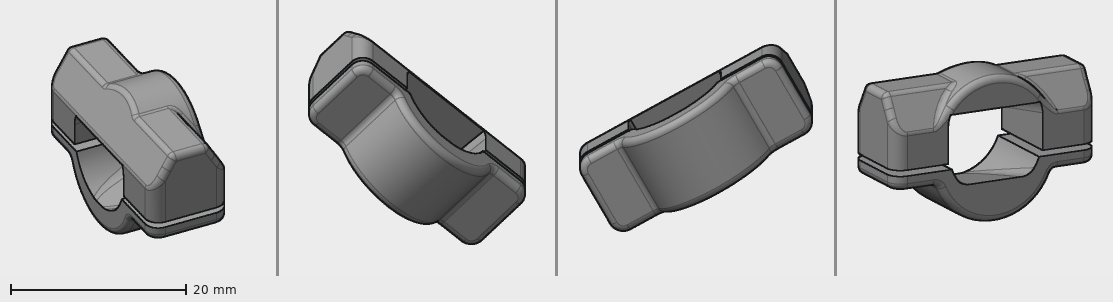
import cadquery as cq
import math

length = 26.22
depth = 10.0
half_depth = depth / 2
parting_gap = 0.7
corner_radius = 1.7
edge_radius = 0.85

ridge_top = 9.39
ridge_half_width = 2.33
flank_base = 5.03
collar_top = 10.35
collar_radius = 7.73
collar_center = collar_top - collar_radius

flange_thickness = 1.7
belly_bottom = -6.97
belly_radius = 7.87
belly_center = belly_bottom + belly_radius
belly_blend_radius = 0.85

passage_angle = 10.0
passage_rise = depth * math.tan(math.radians(passage_angle))
slot_half_width = 6.08
slot_roof_front = 4.72
slot_wall_top_front = 3.4
slot_shoulder_radius = 3.02
bore_radius = 6.0
bore_center = 2.1
bore_floor_front = -3.83
bore_floor_blend = 1.9


def rounded_bar(bottom, top):
    """Full-length bar with rounded vertical corners."""
    bar = cq.Workplane("XY").workplane(offset=bottom).rect(length, depth).extrude(top - bottom)
    return bar.edges("|Z").fillet(corner_radius)


def cylinder_along_y(radius, center_z):
    """Cylinder along Y that spans the depth of the part."""
    return cq.Workplane("XZ", origin=(0, half_depth, center_z)).circle(radius).extrude(depth)


def side_prism(points):
    """Prism along X with a (Y, Z) outline, as long as the part."""
    return cq.Workplane("YZ", origin=(-length / 2, 0, 0)).polyline(points).close().extrude(length)


def make_slot():
    """Straight-sided slot with rounded shoulders, running up the slope toward +Y."""
    shoulder_height = slot_roof_front - slot_wall_top_front
    roof_half_width = slot_half_width - slot_shoulder_radius + math.sqrt(
        slot_shoulder_radius**2 - shoulder_height**2
    )
    bottom = -passage_rise
    profile = (
        cq.Workplane("XZ", origin=(0, -half_depth, 0))
        .moveTo(-slot_half_width, bottom)
        .lineTo(-slot_half_width, slot_wall_top_front)
        .radiusArc((-roof_half_width, slot_roof_front), slot_shoulder_radius)
        .lineTo(roof_half_width, slot_roof_front)
        .radiusArc((slot_half_width, slot_wall_top_front), slot_shoulder_radius)
        .lineTo(slot_half_width, bottom)
        .close()
    )
    run = cq.Vector(0, depth, passage_rise)
    return cq.Workplane(cq.Solid.extrudeLinear(profile.val(), [], run))


def make_cap():
    """Ridge and collar with rounded edges, hollowed by the slot."""
    collar = cylinder_along_y(collar_radius, collar_center)
    flank_run = (half_depth - ridge_half_width) / (ridge_top - flank_base)
    front_at_collar_top = -half_depth + (collar_top - flank_base) * flank_run
    ridge_outline = [
        (-half_depth, parting_gap),
        (-half_depth, flank_base),
        (-ridge_half_width, ridge_top),
        (ridge_half_width, ridge_top),
        (half_depth, flank_base),
        (half_depth, parting_gap),
    ]
    collar_outline = [
        (-half_depth, parting_gap),
        (-half_depth, flank_base),
        (front_at_collar_top, collar_top),
        (half_depth, collar_top),
        (half_depth, parting_gap),
    ]
    ridge = rounded_bar(parting_gap, ridge_top).intersect(side_prism(ridge_outline))
    cap = ridge.union(collar.intersect(side_prism(collar_outline)))
    above_walls = cq.selectors.BoxSelector(
        (-length, -depth, flank_base - edge_radius), (length, depth, collar_top + edge_radius)
    )
    cap = cap.edges("not |Z").edges(above_walls).fillet(edge_radius)
    return cap.cut(make_slot())


def make_bore():
    """Round bore with a flat floor that rises toward +Y."""
    top = bore_center + bore_radius
    above_floor = side_prism([
        (-half_depth, bore_floor_front),
        (half_depth, bore_floor_front + passage_rise),
        (half_depth, top),
        (-half_depth, top),
    ])
    bore = cylinder_along_y(bore_radius, bore_center).intersect(above_floor)
    return bore.faces("<Z").edges("not |X").fillet(bore_floor_blend)


def make_saddle():
    """Flange and belly with rounded lower edges, hollowed by the bore."""
    flange = rounded_bar(-flange_thickness, 0)
    below_mating_face = side_prism([
        (-half_depth, belly_bottom),
        (half_depth, belly_bottom),
        (half_depth, 0),
        (-half_depth, 0),
    ])
    belly = cylinder_along_y(belly_radius, belly_center).intersect(below_mating_face)
    saddle = flange.union(belly)
    saddle = saddle.edges("|Y").edges("not(<X or >X)").fillet(belly_blend_radius)
    saddle = saddle.faces("<X").edges("<Z").fillet(edge_radius)
    return saddle.cut(make_bore())


cap = make_cap()
saddle = make_saddle()
result = cq.Compound.makeCompound([cap.val(), saddle.val()])